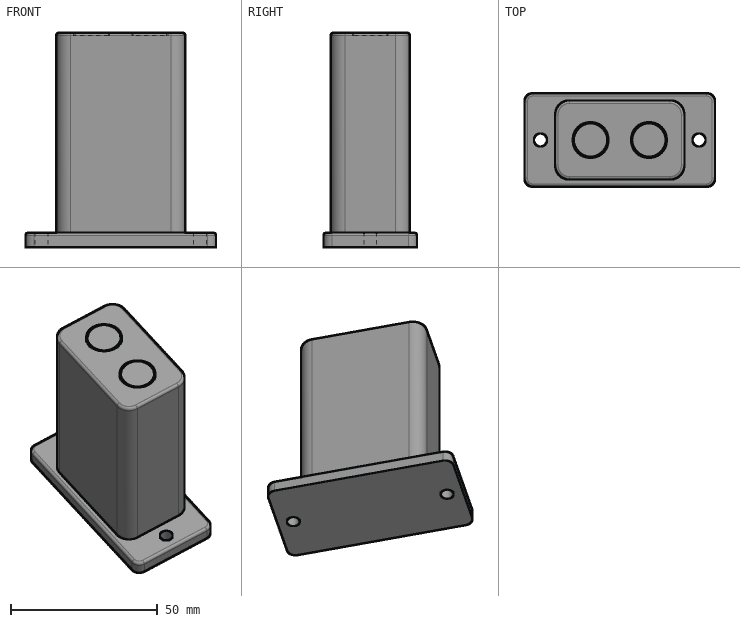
import cadquery as cq

plate_length = 65.0
plate_width = 32.0
plate_thickness = 5.0
plate_corner_radius = 3.0

total_height = 73.0
body_length = 44.0
body_width = 27.0
body_corner_radius = 5.0

edge_radius = 1.0

mount_hole_diameter = 4.4
mount_hole_spacing = 53.95

ring_inner_diameter = 11.4
ring_outer_diameter = 12.2
ring_spacing = 19.85
ring_depth = 1.0


def rounded_block(length, width, height, corner_radius):
    """Block standing on Z = 0 with rounded upright corners and top edges."""
    block = cq.Workplane("XY").box(length, width, height, centered=(True, True, False))
    return block.edges("|Z").fillet(corner_radius).faces(">Z").edges().fillet(edge_radius)


def pair_along_x(spacing):
    """Two points placed symmetrically about the origin on the X axis."""
    return [(-spacing / 2, 0), (spacing / 2, 0)]


plate = rounded_block(plate_length, plate_width, plate_thickness, plate_corner_radius)
body = rounded_block(body_length, body_width, total_height, body_corner_radius)

mount_holes = (
    cq.Workplane("XY")
    .pushPoints(pair_along_x(mount_hole_spacing))
    .circle(mount_hole_diameter / 2)
    .extrude(plate_thickness)
)

ring_grooves = (
    cq.Workplane("XY", origin=(0, 0, total_height - ring_depth))
    .pushPoints(pair_along_x(ring_spacing))
    .circle(ring_outer_diameter / 2)
    .circle(ring_inner_diameter / 2)
    .extrude(ring_depth)
)

result = plate.union(body).cut(mount_holes).cut(ring_grooves)